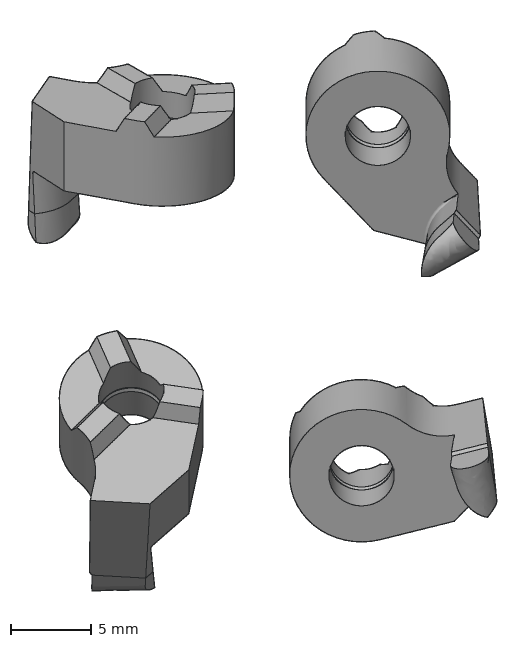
import cadquery as cq
import math


hub_radius = 4.5
bore_radius = 2.04
body_height = 4.79
arm_back_y = 1.15
neck_radius = 3.5
corner_x = -4.78
oblique_angle = 33.0
arm_overrun_x = -9.74

groove_top = 3.0
groove_width = 0.47
groove_depth = 0.1

tooth_height = 1.0
tooth_root_half = 1.26
tooth_top_half = 0.68
tooth_angles = (-90, 30, 150)

tip_top = -2.9
tip_face_y = 1.0
leg_chamfer_height = 0.29
leg_root_radius = 0.15

nose_radius = 1.25
nose_x = -7.25
nose_z = -4.16
left_lean = 2.35
right_lean = 4.0
side_relief = 0.107
bottom_relief = 0.122

margin_x = -6.26
margin_start_y = 1.56
margin_width = 0.09
margin_end_y = 0.06
inner_radius = 3.31
inner_sweep = 65
inner_lean = 0.062
inner_front_lean = 0.044

overrun = 0.65
profile_top = body_height + overrun
leg_bottom = nose_z - nose_radius - overrun


def arc_point(center_x, center_y, radius, degrees):
    angle = math.radians(degrees)
    return (center_x + radius * math.cos(angle), center_y + radius * math.sin(angle))


def plan_outline(z):
    """Hub with tangent neck and arm, on a plane at height z."""
    neck_y = arm_back_y + neck_radius
    neck_x = -math.sqrt((hub_radius + neck_radius) ** 2 - neck_y ** 2)
    neck_angle = math.degrees(math.atan2(neck_y, neck_x))
    oblique_end_y = -hub_radius + (corner_x - arm_overrun_x) * math.tan(math.radians(oblique_angle))
    neck_mid_angle = (-90 + neck_angle - 180) / 2
    return (
        cq.Workplane("XY").workplane(offset=z)
        .moveTo(arm_overrun_x, arm_back_y)
        .lineTo(neck_x, arm_back_y)
        .threePointArc(
            arc_point(neck_x, neck_y, neck_radius, neck_mid_angle),
            arc_point(0, 0, hub_radius, neck_angle),
        )
        .threePointArc((hub_radius, 0), (0, -hub_radius))
        .lineTo(corner_x, -hub_radius)
        .lineTo(arm_overrun_x, oblique_end_y)
        .close()
    )


def leaning_prism(outline, direction):
    """Extrude a closed outline along a direction that need not be normal to it."""
    face = cq.Face.makeFromWires(outline.val())
    return cq.Workplane(cq.Solid.extrudeLinear(face, cq.Vector(*direction)))


def nose_envelope():
    """Round-ended profile swept to the front with side and bottom relief."""
    start_y = arm_back_y + overrun
    depth = start_y + hub_radius + overrun
    x_shift = side_relief + bottom_relief * math.tan(math.radians(left_lean))
    lead = start_y - tip_face_y
    center_x = nose_x - lead * x_shift
    center_z = nose_z - lead * bottom_relief
    left_x, left_z = arc_point(center_x, center_z, nose_radius, 180 - left_lean)
    right_x, right_z = arc_point(center_x, center_z, nose_radius, right_lean)
    top_left_x = left_x + (profile_top - left_z) * math.tan(math.radians(left_lean))
    top_right_x = right_x - (profile_top - right_z) * math.tan(math.radians(right_lean))
    outline = (
        cq.Workplane("XZ", origin=(0, start_y, 0))
        .moveTo(top_left_x, profile_top)
        .lineTo(left_x, left_z)
        .threePointArc((center_x, center_z - nose_radius), (right_x, right_z))
        .lineTo(top_right_x, profile_top)
        .close()
    )
    return leaning_prism(outline, (depth * x_shift, -depth, depth * bottom_relief))


def leg_inner_limit():
    """Leaning prism with a narrow margin and a convex inner side."""
    margin_end_x = margin_x - margin_width
    arc_center_x = margin_end_x - inner_radius
    arc_end = arc_point(arc_center_x, margin_end_y, inner_radius, -inner_sweep)
    outline = (
        cq.Workplane("XY")
        .moveTo(arm_overrun_x, margin_start_y)
        .lineTo(margin_x, margin_start_y)
        .lineTo(margin_end_x, margin_end_y)
        .threePointArc(
            arc_point(arc_center_x, margin_end_y, inner_radius, -inner_sweep / 2),
            arc_end,
        )
        .lineTo(arm_overrun_x, arc_end[1])
        .close()
    )
    return leaning_prism(outline, (-leg_bottom * inner_lean, leg_bottom * inner_front_lean, leg_bottom))


def tip_relief_cut():
    """Material removed behind the tip face, with the slope that leads to it."""
    return (
        cq.Workplane("YZ", origin=(arm_overrun_x, 0, 0))
        .moveTo(tip_face_y, leg_bottom)
        .lineTo(tip_face_y, tip_top)
        .lineTo(arm_back_y, tip_top + leg_chamfer_height)
        .lineTo(arm_back_y + overrun, tip_top + leg_chamfer_height)
        .lineTo(arm_back_y + overrun, leg_bottom)
        .close()
        .extrude(-arm_overrun_x)
    )


def make_leg():
    return (
        plan_outline(leg_bottom).extrude(-leg_bottom)
        .intersect(leg_inner_limit())
        .intersect(nose_envelope())
        .cut(tip_relief_cut())
    )


def make_tooth(angle):
    """Trapezoidal radial tooth, long enough to pass the hub rim."""
    return (
        cq.Workplane("YZ", origin=(0, 0, body_height))
        .moveTo(-tooth_root_half, 0)
        .lineTo(tooth_root_half, 0)
        .lineTo(tooth_top_half, tooth_height)
        .lineTo(-tooth_top_half, tooth_height)
        .close()
        .extrude(2 * hub_radius)
        .rotate((0, 0, 0), (0, 0, 1), angle)
    )


def make_bore():
    groove_middle = groove_top - groove_width / 2
    return (
        cq.Workplane("XZ")
        .moveTo(0, 0)
        .lineTo(bore_radius, 0)
        .lineTo(bore_radius, groove_top - groove_width)
        .lineTo(bore_radius + groove_depth, groove_middle)
        .lineTo(bore_radius, groove_top)
        .lineTo(bore_radius, body_height + tooth_height)
        .lineTo(0, body_height + tooth_height)
        .close()
        .revolve(360, (0, 0), (0, 1))
    )


def arm_end_limit():
    """Leaning prism whose -X side is the relieved end face of the arm."""
    drop_lean = math.tan(math.radians(left_lean))
    flank_x = nose_x - nose_radius / math.cos(math.radians(left_lean))
    base_x = flank_x - nose_z * drop_lean
    y_back = arm_back_y + hub_radius
    y_front = -hub_radius - overrun
    outline = (
        cq.Workplane("XY")
        .moveTo(base_x + (tip_face_y - y_back) * side_relief, y_back)
        .lineTo(base_x + (tip_face_y - y_front) * side_relief, y_front)
        .lineTo(2 * hub_radius, y_front)
        .lineTo(2 * hub_radius, y_back)
        .close()
    )
    return leaning_prism(outline, (profile_top * drop_lean, 0, profile_top))


def make_housing(upper_leg):
    housing = plan_outline(0).extrude(body_height).intersect(arm_end_limit()).union(upper_leg)
    root_point = (margin_x, (arm_back_y + margin_end_y) / 2, 0)
    inner_point = arc_point(
        margin_x - margin_width - inner_radius, margin_end_y, inner_radius, -inner_sweep / 2
    )
    root_edges = [
        housing.edges(cq.selectors.NearestToPointSelector(point)).val()
        for point in (root_point, (*inner_point, 0))
    ]
    housing = housing.newObject(root_edges).fillet(leg_root_radius)
    rim = plan_outline(body_height).extrude(tooth_height)
    for angle in tooth_angles:
        housing = housing.union(make_tooth(angle).intersect(rim))
    return housing.cut(make_bore())


leg = make_leg()
leg_above_joint = (
    cq.Workplane("XY", origin=(0, 0, tip_top))
    .rect(4 * hub_radius, 4 * hub_radius)
    .extrude(-tip_top)
)
housing = make_housing(leg.intersect(leg_above_joint))
tip = leg.cut(leg_above_joint)

result = cq.Compound.makeCompound([housing.val(), tip.val()])